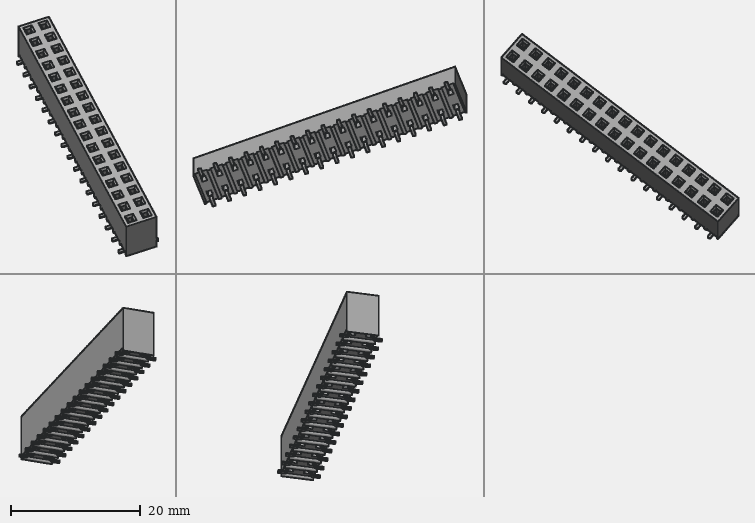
import cadquery as cq

columns = 17
rows = 2
length = 43.2
pitch = length / columns
body_depth = rows * pitch
height = 7.4

body_bottom = 0.65
rib_bottom = 0.15

rib_width = 0.55
rib_foot_radius = 0.25

socket_mouth = 1.42
socket_bore = 0.78
mouth_depth = (socket_mouth - socket_bore) / 2
funnel_angle = 45

tail_span = 6.6
tail_width = 0.5
tail_thickness = 0.25
bend_inner_radius = 0.2
bend_outer_radius = bend_inner_radius + tail_thickness
riser_inner_y = 1.8
tail_embedment = 0.2
tail_corner_radius = 0.15


def make_housing():
    """Plain block whose underside stands on full-depth ribs with rounded feet."""
    block = cq.Workplane("XY").workplane(offset=body_bottom).rect(length, body_depth)
    housing = block.extrude(height - body_bottom)
    rib = (
        cq.Workplane("XY")
        .workplane(offset=rib_bottom)
        .rect(rib_width, body_depth)
        .extrude(body_bottom - rib_bottom)
        .faces("<Z")
        .edges("|Y")
        .fillet(rib_foot_radius)
    )
    for i in range(columns + 1):
        housing = housing.union(rib.translate((i * pitch - length / 2, 0, 0)))
    envelope = cq.Workplane("XY").box(length, body_depth, height, centered=(True, True, False))
    return housing.intersect(envelope)


def cut_sockets(housing):
    """Square through holes in a grid, each with a 45 degree funnel at its mouth."""
    top = housing.faces(">Z").workplane(origin=(0, 0, height))
    housing = top.rarray(pitch, pitch, columns, rows).rect(socket_bore, socket_bore).cutThruAll()
    top = housing.faces(">Z").workplane(origin=(0, 0, height))
    mouths = top.rarray(pitch, pitch, columns, rows).rect(socket_mouth, socket_mouth)
    return mouths.cutBlind(-mouth_depth, taper=funnel_angle)


def make_tail():
    """L-shaped tail pointing to +Y: a riser, a rounded bend and a flat foot."""
    riser_top = body_bottom + tail_embedment
    bend_y = riser_inner_y + bend_outer_radius
    tail = (
        cq.Workplane("YZ")
        .moveTo(riser_inner_y, riser_top)
        .lineTo(riser_inner_y, bend_outer_radius)
        .radiusArc((bend_y, 0), -bend_outer_radius)
        .lineTo(tail_span / 2, 0)
        .lineTo(tail_span / 2, tail_thickness)
        .lineTo(bend_y, tail_thickness)
        .radiusArc((riser_inner_y + tail_thickness, bend_outer_radius), bend_inner_radius)
        .lineTo(riser_inner_y + tail_thickness, riser_top)
        .close()
        .extrude(tail_width / 2, both=True)
    )
    return tail.faces(">Y").edges("|Z").fillet(tail_corner_radius)


result = cut_sockets(make_housing())
back_tail = make_tail()
front_tail = back_tail.mirror("XZ")
for i in range(columns):
    column_x = (i - (columns - 1) / 2) * pitch
    result = result.union(back_tail.translate((column_x, 0, 0)))
    result = result.union(front_tail.translate((column_x, 0, 0)))